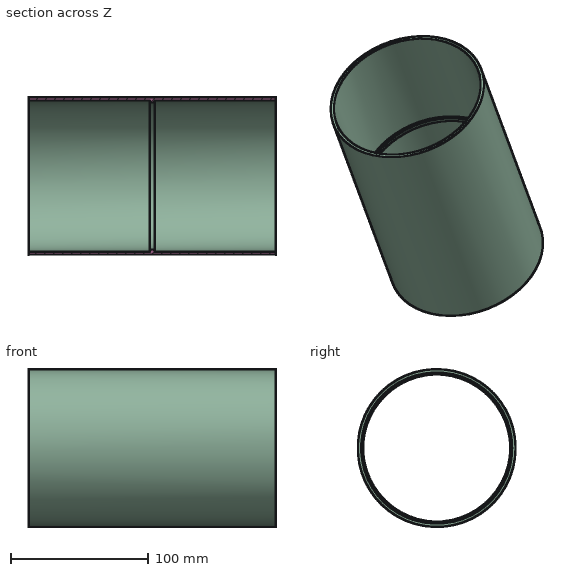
import cadquery as cq

coupling_length = 180.0
outer_diameter = 115.0
socket_diameter = 110.0
stop_diameter = 107.0
stop_crest_width = 3.0
stop_flank_run = 0.475

outer_radius = outer_diameter / 2
socket_radius = socket_diameter / 2
stop_radius = stop_diameter / 2
half_length = coupling_length / 2
half_crest = stop_crest_width / 2
half_base = half_crest + stop_flank_run


def make_coupling():
    """Double-socket tube with a raised pipe stop around the middle of its bore."""
    wall_section = (
        cq.Workplane("XY")
        .moveTo(-half_length, outer_radius)
        .lineTo(half_length, outer_radius)
        .lineTo(half_length, socket_radius)
        .lineTo(half_base, socket_radius)
        .lineTo(half_crest, stop_radius)
        .lineTo(-half_crest, stop_radius)
        .lineTo(-half_base, socket_radius)
        .lineTo(-half_length, socket_radius)
        .close()
    )
    return wall_section.revolve(360, (0, 0, 0), (1, 0, 0))


result = make_coupling()